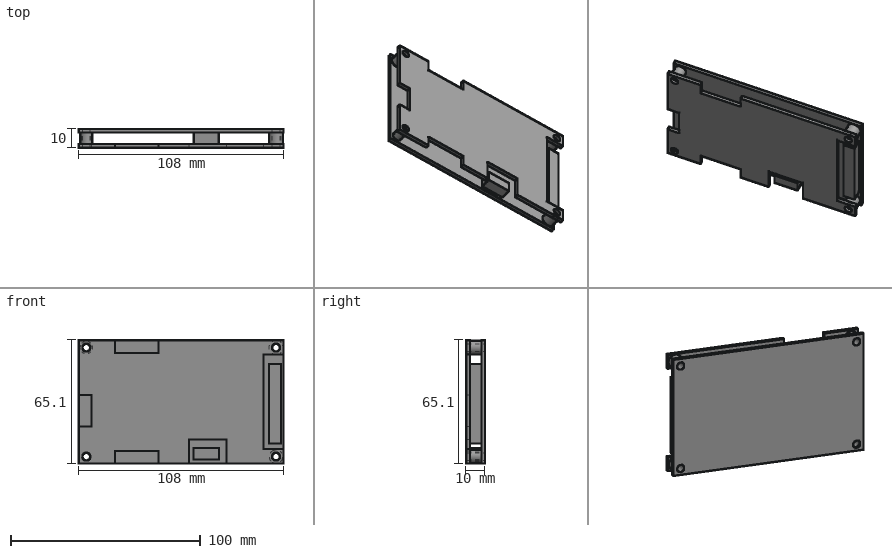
import cadquery as cq

LENGTH = 108.0
DEPTH = 10.0
HEIGHT = 65.1
BOARD_THICKNESS = 2.0

COVER_BACK_Y = BOARD_THICKNESS
BASE_FRONT_Y = DEPTH - BOARD_THICKNESS
BOARD_GAP = BASE_FRONT_Y - COVER_BACK_Y

HOLE_DIAMETER = 4.0
HOLE_SIDE_INSET = 4.0
HOLE_TOP_INSET = 4.0
HOLE_BOTTOM_INSET = 3.7
LEFT_X = HOLE_SIDE_INSET
RIGHT_X = LENGTH - HOLE_SIDE_INSET
LOW_Z = HOLE_BOTTOM_INSET
HIGH_Z = HEIGHT - HOLE_TOP_INSET

STANDOFFS = [
    (LEFT_X, LOW_Z, 5.0),
    (LEFT_X, HIGH_Z, 6.5),
    (RIGHT_X, LOW_Z, 7.0),
    (RIGHT_X, HIGH_Z, 7.5),
]

CONNECTOR_DEPTH = 5.8
SIDE_CONNECTOR_WIDTH = 6.5
SIDE_CONNECTOR_HEIGHT = 42.0
SIDE_CONNECTOR_X = 100.2
SIDE_CONNECTOR_Z = 10.6
BOTTOM_CONNECTOR_WIDTH = 13.3
BOTTOM_CONNECTOR_HEIGHT = 6.2
BOTTOM_CONNECTOR_X = 60.6
BOTTOM_CONNECTOR_Z = 2.2

TERMINAL_NOTCH_DEPTH = 6.7
TERMINAL_NOTCH_LENGTH = 23.0
TERMINAL_NOTCH_X = 19.0
SIDE_TERMINAL_NOTCH_LENGTH = 16.6
SIDE_TERMINAL_NOTCH_Z = 19.4

SIDE_CONNECTOR_NOTCH_DEPTH = 10.6
SIDE_CONNECTOR_NOTCH_INSET = 7.7
BOTTOM_CONNECTOR_NOTCH_X = 58.1
BOTTOM_CONNECTOR_NOTCH_LENGTH = 19.8
BOTTOM_CONNECTOR_NOTCH_DEPTH = 12.6


def block(x, y, z, size_x, size_y, size_z):
    """Box whose lowest corner is at (x, y, z)."""
    return cq.Workplane("XY").box(size_x, size_y, size_z, centered=False).translate((x, y, z))


def rod(x, y, z, diameter, length):
    """Cylinder that starts at (x, y, z) and runs along +Y."""
    axis_start = cq.Vector(x, y, z)
    return cq.Workplane(cq.Solid.makeCylinder(diameter / 2, length, axis_start, cq.Vector(0, 1, 0)))


def drill_corner_holes(body):
    """Cut the four mounting holes through the whole depth of a body."""
    for x, z, _ in STANDOFFS:
        body = body.cut(rod(x, 0, z, HOLE_DIAMETER, DEPTH))
    return body


def make_base():
    """Rear board with its standoffs and connector blocks."""
    base = block(0, BASE_FRONT_Y, 0, LENGTH, BOARD_THICKNESS, HEIGHT)
    for x, z, diameter in STANDOFFS:
        base = base.union(rod(x, COVER_BACK_Y, z, diameter, BOARD_GAP))

    connector_y = BASE_FRONT_Y - CONNECTOR_DEPTH
    side_connector = block(
        SIDE_CONNECTOR_X, connector_y, SIDE_CONNECTOR_Z,
        SIDE_CONNECTOR_WIDTH, CONNECTOR_DEPTH, SIDE_CONNECTOR_HEIGHT,
    )
    bottom_connector = block(
        BOTTOM_CONNECTOR_X, connector_y, BOTTOM_CONNECTOR_Z,
        BOTTOM_CONNECTOR_WIDTH, CONNECTOR_DEPTH, BOTTOM_CONNECTOR_HEIGHT,
    )
    base = base.union(side_connector).union(bottom_connector)
    return drill_corner_holes(base)


def make_cover():
    """Front board with notches in its edges."""
    notches = [
        (TERMINAL_NOTCH_X, HEIGHT - TERMINAL_NOTCH_DEPTH, TERMINAL_NOTCH_LENGTH, TERMINAL_NOTCH_DEPTH),
        (TERMINAL_NOTCH_X, 0, TERMINAL_NOTCH_LENGTH, TERMINAL_NOTCH_DEPTH),
        (0, SIDE_TERMINAL_NOTCH_Z, TERMINAL_NOTCH_DEPTH, SIDE_TERMINAL_NOTCH_LENGTH),
        (BOTTOM_CONNECTOR_NOTCH_X, 0, BOTTOM_CONNECTOR_NOTCH_LENGTH, BOTTOM_CONNECTOR_NOTCH_DEPTH),
        (
            LENGTH - SIDE_CONNECTOR_NOTCH_DEPTH, SIDE_CONNECTOR_NOTCH_INSET,
            SIDE_CONNECTOR_NOTCH_DEPTH, HEIGHT - 2 * SIDE_CONNECTOR_NOTCH_INSET,
        ),
    ]
    cover = block(0, 0, 0, LENGTH, BOARD_THICKNESS, HEIGHT)
    for x, z, size_x, size_z in notches:
        cover = cover.cut(block(x, 0, z, size_x, BOARD_THICKNESS, size_z))
    return drill_corner_holes(cover)


base = make_base().solids()
cover = make_cover().solids()

result = cq.Compound.makeCompound([base.val(), cover.val()])